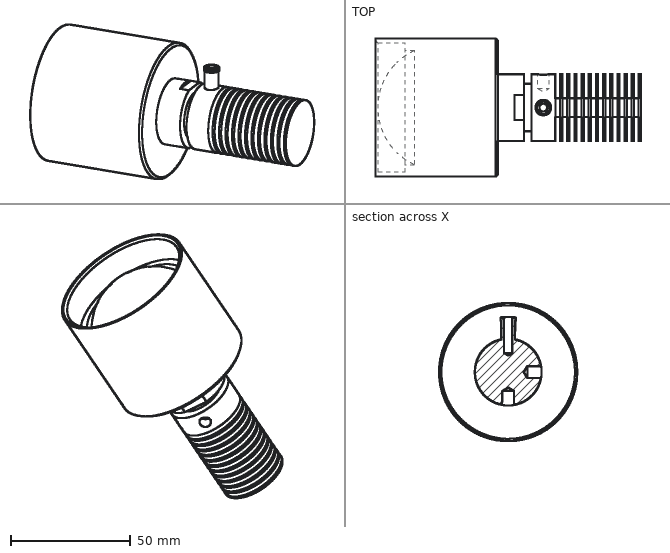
import cadquery as cq
import math

total_length = 111.3

housing_diameter = 58.0
housing_length = 51.3
housing_chamfer = 1.0
mouth_diameter = 56.5
mouth_taper_length = 1.0
bore_diameter = 54.1
bore_depth = 12.5

lens_diameter = 48.0
lens_edge_depth = 16.4
lens_apex_depth = 1.0

collar_diameter = 28.0
collar_length = 11.0
flat_length = 4.1
width_across_flats = 26.0

neck_diameter = 20.0
neck_length = 3.0
block_length = 10.0
screw_hole_diameter = 4.8
screw_hole_depth = 6.0
drill_point_angle = 118.0

post_diameter = 6.0
post_top = 23.0
post_lip_diameter = 6.5
post_lip_height = 1.5
post_chamfer_height = 0.3
post_rim_diameter = 5.5
post_hole_diameter = 3.3

fin_count = 12
fin_spindle_diameter = 8.0

collar_end = housing_length + collar_length
neck_end = collar_end + neck_length
block_end = neck_end + block_length
block_middle = neck_end + block_length / 2
fin_pitch = (total_length - block_end) / fin_count
fin_thickness = fin_pitch / 3


def disc(start, end, diameter):
    """Cylinder on the main axis between two stations."""
    return cq.Workplane("YZ").workplane(offset=start).circle(diameter / 2).extrude(end - start)


def make_housing():
    """Cup revolved about X, with a tapered mouth, a bore, and the lens dome rising from its floor."""
    outer = housing_diameter / 2
    bore = bore_diameter / 2
    lens = lens_diameter / 2
    dome_height = lens_edge_depth - lens_apex_depth
    dome_radius = (lens**2 + dome_height**2) / (2 * dome_height)
    half_angle = math.asin(lens / dome_radius) / 2
    dome_middle = (
        lens_apex_depth + dome_radius * (1 - math.cos(half_angle)),
        dome_radius * math.sin(half_angle),
    )
    profile = (
        cq.Workplane("XY")
        .moveTo(lens_apex_depth, 0)
        .threePointArc(dome_middle, (lens_edge_depth, lens))
        .lineTo(bore_depth, lens)
        .lineTo(bore_depth, bore)
        .lineTo(mouth_taper_length, bore)
        .lineTo(0, mouth_diameter / 2)
        .lineTo(0, outer)
        .lineTo(housing_length - housing_chamfer, outer)
        .lineTo(housing_length, outer - housing_chamfer)
        .lineTo(housing_length, 0)
        .close()
    )
    return profile.revolve(360, (0, 0, 0), (1, 0, 0))


def make_collar():
    """Round collar whose rear end is cut flat above and below."""
    flat_start = collar_end - flat_length
    front = disc(housing_length, flat_start, collar_diameter)
    rear = disc(flat_start, collar_end, collar_diameter)
    between_flats = cq.Workplane("XY").box(flat_length, collar_diameter, width_across_flats)
    between_flats = between_flats.translate((flat_start + flat_length / 2, 0, 0))
    return front.union(rear.intersect(between_flats))


def make_post():
    """Upright post with a chamfered lip, revolved about Z over the middle of the block."""
    body = post_diameter / 2
    lip = post_lip_diameter / 2
    lip_bottom = post_top - post_lip_height
    profile = (
        cq.Workplane("XZ")
        .lineTo(body, 0)
        .lineTo(body, lip_bottom)
        .lineTo(lip, lip_bottom)
        .lineTo(lip, post_top - post_chamfer_height)
        .lineTo(post_rim_diameter / 2, post_top)
        .lineTo(0, post_top)
        .close()
    )
    post = profile.revolve(360, (0, 0, 0), (0, 1, 0))
    return post.translate((block_middle, 0, 0))


def make_drill(diameter, outer_end, turn):
    """Pointed drill shape reaching in from outer_end, turned about X away from +Z."""
    radius = diameter / 2
    floor = collar_diameter / 2 - screw_hole_depth
    tip = floor - radius / math.tan(math.radians(drill_point_angle / 2))
    profile = (
        cq.Workplane("XZ")
        .moveTo(0, tip)
        .lineTo(radius, floor)
        .lineTo(radius, outer_end)
        .lineTo(0, outer_end)
        .close()
    )
    drill = profile.revolve(360, (0, 0, 0), (0, 1, 0))
    return drill.rotate((0, 0, 0), (1, 0, 0), turn).translate((block_middle, 0, 0))


def make_heat_sink():
    """Row of thin round fins on a slim spindle, the last fin closing the rear end."""
    sink = disc(block_end, total_length, fin_spindle_diameter)
    for index in range(fin_count):
        fin_end = total_length - index * fin_pitch
        sink = sink.union(disc(fin_end - fin_thickness, fin_end, collar_diameter))
    return sink


result = (
    make_housing()
    .union(make_collar())
    .union(disc(collar_end, neck_end, neck_diameter))
    .union(disc(neck_end, block_end, collar_diameter))
    .union(make_post())
    .union(make_heat_sink())
)

result = result.cut(make_drill(post_hole_diameter, post_top, 0))
for turn in (-90, 180):
    result = result.cut(make_drill(screw_hole_diameter, collar_diameter / 2, turn))